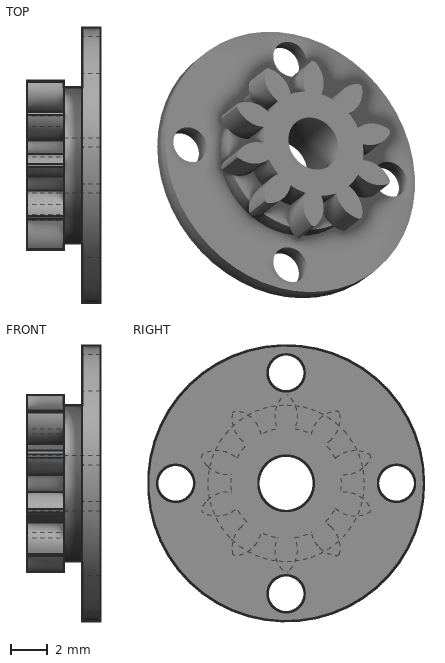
import cadquery as cq
import math

flange_diameter = 15.0
flange_thickness = 1.0
boss_diameter = 8.5
boss_length = 1.0
bore_diameter = 3.0

mount_hole_count = 4
mount_hole_diameter = 2.0
mount_circle_radius = 6.0

pinion_thickness = 2.0
tooth_count = 10
root_radius = 3.0
tip_radius = 4.81
root_half_width = 0.465
flank_half_width = 0.61
flank_radius = 3.69
tip_half_width = 0.09

boss_start = pinion_thickness
flange_start = boss_start + boss_length


def disc(diameter, start, thickness):
    """Solid disc on the X axis, from start towards +X."""
    return cq.Workplane("YZ", origin=(start, 0, 0)).circle(diameter / 2).extrude(thickness)


def make_flanged_hub():
    boss = disc(boss_diameter, boss_start, boss_length)
    flange = disc(flange_diameter, flange_start, flange_thickness)
    mount_holes = (
        cq.Workplane("YZ", origin=(flange_start, 0, 0))
        .polarArray(mount_circle_radius, 0, 360, mount_hole_count)
        .circle(mount_hole_diameter / 2)
        .extrude(flange_thickness)
    )
    bore = disc(bore_diameter, boss_start, boss_length + flange_thickness)
    return boss.union(flange).cut(mount_holes).cut(bore)


def make_tooth():
    """One tooth pointing along +Z, with bulging flanks and a narrow rounded tip."""
    base_height = (bore_diameter / 2 + root_radius) / 2
    root_height = math.sqrt(root_radius**2 - root_half_width**2)
    tip_height = math.sqrt(tip_radius**2 - tip_half_width**2)
    return (
        cq.Workplane("YZ")
        .moveTo(0, base_height)
        .lineTo(root_half_width, root_height)
        .threePointArc((flank_half_width, flank_radius), (tip_half_width, tip_height))
        .threePointArc((0, tip_radius), (-tip_half_width, tip_height))
        .threePointArc((-flank_half_width, flank_radius), (-root_half_width, root_height))
        .close()
        .extrude(pinion_thickness)
    )


def make_pinion():
    pinion = disc(2 * root_radius, 0, pinion_thickness)
    tooth = make_tooth()
    for index in range(tooth_count):
        angle = index * 360 / tooth_count
        pinion = pinion.union(tooth.rotate((0, 0, 0), (1, 0, 0), angle))
    return pinion.cut(disc(bore_diameter, 0, pinion_thickness))


flanged_hub = make_flanged_hub()
pinion = make_pinion()

result = cq.Compound.makeCompound([flanged_hub.val(), pinion.val()])